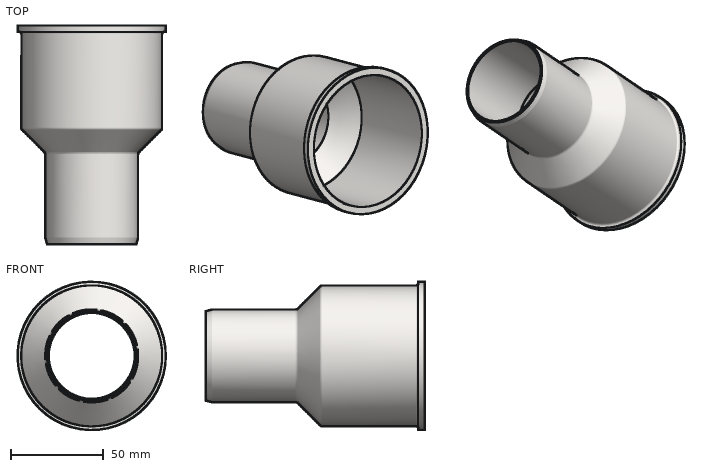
import cadquery as cq
import math

length = 118.0
flange_radius = 80.0 / 2
socket_radius = 76.0 / 2
socket_bore_radius = 72.0 / 2
spigot_radius = 50.2 / 2
spigot_bore_radius = 46.3 / 2

flange_thickness = 3.5
flange_fillet = 1.1
shoulder_round = 1.4
neck_round = 1.4
tip_length = 3.5
tip_inset = 1.0

spigot_length = 49.2
cone_angle = math.radians(45)
cone_length = (socket_radius - spigot_radius) / math.tan(cone_angle)
socket_start = spigot_length + cone_length

wall = socket_radius - socket_bore_radius
bore_shift = wall * math.tan(cone_angle / 2)
bore_socket_start = socket_start + bore_shift
bore_cone_length = (socket_bore_radius - spigot_bore_radius) / math.tan(cone_angle)


def revolve_profile(points):
    """Turn a (radius, distance from tip) outline around the Y axis."""
    return cq.Workplane("XY").polyline(points).close().revolve(360, (0, 0, 0), (0, 1, 0))


def circle_edges(body, radius, distance):
    """Select the circular edge of a given radius and distance from the tip."""
    margin = 0.01
    reach = radius + margin
    return body.edges(
        cq.selectors.BoxSelector(
            (-reach, distance - margin, -reach), (reach, distance + margin, reach), boundingbox=True
        )
    )


outer = revolve_profile([
    (0, 0),
    (spigot_radius - tip_inset, 0),
    (spigot_radius, tip_length),
    (spigot_radius, spigot_length),
    (socket_radius, socket_start),
    (socket_radius, length - flange_thickness),
    (flange_radius, length - flange_thickness),
    (flange_radius, length),
    (0, length),
])
outer = circle_edges(outer, spigot_radius, spigot_length).fillet(neck_round)
outer = circle_edges(outer, socket_radius, socket_start).fillet(shoulder_round)
outer = circle_edges(outer, socket_radius, length - flange_thickness).fillet(flange_fillet)

bore = revolve_profile([
    (0, 0),
    (spigot_bore_radius, 0),
    (spigot_bore_radius, bore_socket_start - bore_cone_length),
    (socket_bore_radius, bore_socket_start),
    (socket_bore_radius, length),
    (0, length),
])

result = outer.cut(bore)